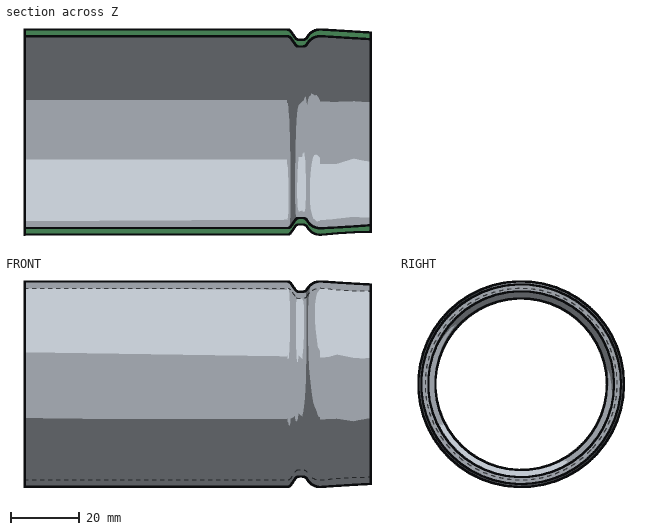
import math

import cadquery as cq

length = 101.6
tube_diameter = 60.4
bore_diameter = 56.3
wall = (tube_diameter - bore_diameter) / 2

shoulder_start = 77.1
groove_diameter = 54.4
groove_depth = (tube_diameter - groove_diameter) / 2
groove_floor_width = 1.1
flank_angle = math.radians(55)
flank_round = 1.2
round_length = flank_round * math.sin(flank_angle)
round_drop = flank_round * (1 - math.cos(flank_angle))
flank_length = (groove_depth - 2 * round_drop) / math.tan(flank_angle)

collar_diameter = 60.5
end_diameter = 58.6
rise_length = 5.2
hollow_length = 1.3

shoulder_end = shoulder_start + round_length
flank_end = shoulder_end + flank_length
groove_start = flank_end + round_length
groove_end = groove_start + groove_floor_width
hollow_end = groove_end + hollow_length
collar_crest = groove_end + rise_length


def turned_body(inset):
    """Solid of revolution about X whose radii are all reduced by inset."""
    tube_radius = tube_diameter / 2 - inset
    groove_radius = groove_diameter / 2 - inset
    collar_radius = collar_diameter / 2 - inset
    end_radius = end_diameter / 2 - inset
    hollow_radius = groove_radius + (collar_radius - groove_radius) * hollow_length / rise_length
    profile = (
        cq.Workplane("XY")
        .lineTo(0, tube_radius)
        .lineTo(shoulder_start, tube_radius)
        .tangentArcPoint((shoulder_end, tube_radius - round_drop), relative=False)
        .lineTo(flank_end, groove_radius + round_drop)
        .tangentArcPoint((groove_start, groove_radius), relative=False)
        .lineTo(groove_end, groove_radius)
        .tangentArcPoint((hollow_end, hollow_radius), relative=False)
        .tangentArcPoint((collar_crest, collar_radius), relative=False)
        .lineTo(length, end_radius)
        .lineTo(length, 0)
        .close()
    )
    return profile.revolve(360, (0, 0, 0), (1, 0, 0))


result = turned_body(0).cut(turned_body(wall))